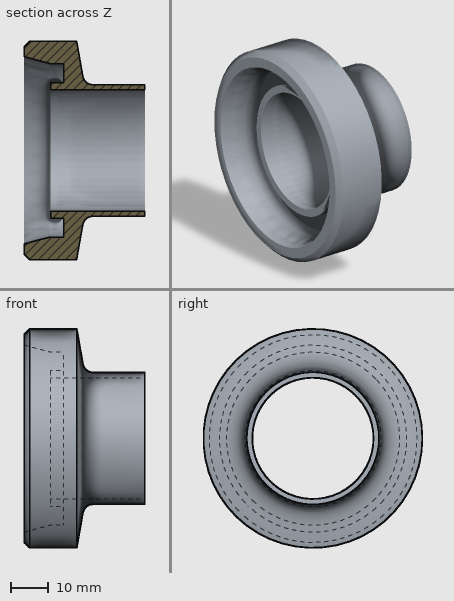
import cadquery as cq
import math

total_length = 32.0

flange_diameter = 58.0
flange_back_edge = 14.0
rim_chamfer = 1.5
rear_cone_angle = 10.0

hub_diameter = 35.0
bore_diameter = 32.0
hub_fillet = 2.5

mouth_diameter = 49.55
floor_diameter = 45.8
mouth_taper_angle = 15.0
socket_depth = 10.45

lip_diameter = 36.0
lip_height = 3.5

flange_radius = flange_diameter / 2
hub_radius = hub_diameter / 2
rear_cone_length = (flange_radius - hub_radius) * math.tan(math.radians(rear_cone_angle))
rear_cone_end = flange_back_edge + rear_cone_length
mouth_taper_depth = (mouth_diameter - floor_diameter) / 2 / math.tan(math.radians(mouth_taper_angle))


def revolve_profile(points):
    """Revolve a closed (x, radius) outline about the X axis."""
    return (
        cq.Workplane("XY")
        .polyline(points)
        .close()
        .revolve(360, (0, 0, 0), (1, 0, 0))
    )


body = revolve_profile([
    (0, 0),
    (0, flange_radius - rim_chamfer),
    (rim_chamfer, flange_radius),
    (flange_back_edge, flange_radius),
    (rear_cone_end, hub_radius),
    (total_length, hub_radius),
    (total_length, 0),
])

rear_corner = cq.selectors.BoxSelector(
    (rear_cone_end - 0.05, -flange_radius, -flange_radius),
    (rear_cone_end + 0.05, flange_radius, flange_radius),
)
body = body.edges("%CIRCLE").edges(rear_corner).fillet(hub_fillet)

lip_top = socket_depth - lip_height
socket = revolve_profile([
    (0, 0),
    (0, mouth_diameter / 2),
    (mouth_taper_depth, floor_diameter / 2),
    (socket_depth, floor_diameter / 2),
    (socket_depth, lip_diameter / 2),
    (lip_top, lip_diameter / 2),
    (lip_top, 0),
])

bore = cq.Workplane("YZ").circle(bore_diameter / 2).extrude(total_length)

result = body.cut(socket).cut(bore)